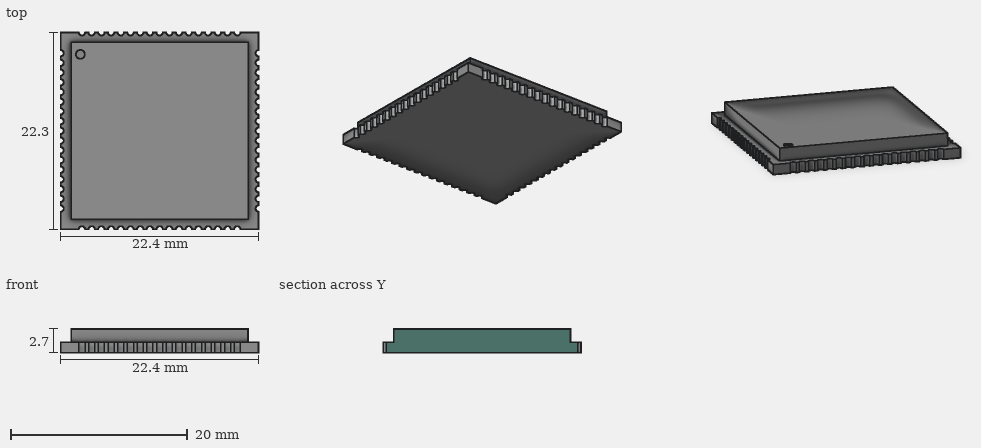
import cadquery as cq

BOARD_LENGTH = 22.43
BOARD_WIDTH = 22.3
BOARD_THICKNESS = 1.2

NOTCH_DIAMETER = 0.7
NOTCH_PITCH = 1.1
NOTCHES_PER_EDGE = 17

TOTAL_HEIGHT = 2.7
SHIELD_SIDE = 20.0
SHIELD_HEIGHT = TOTAL_HEIGHT - BOARD_THICKNESS

MARK_DIAMETER = 1.0
MARK_DEPTH = 0.1
MARK_INSET_X = 1.03
MARK_INSET_Y = 1.35


def notch_centres():
    """Centres of the notches, evenly spaced about the middle of each edge."""
    first = -NOTCH_PITCH * (NOTCHES_PER_EDGE - 1) / 2
    centres = []
    for index in range(NOTCHES_PER_EDGE):
        along = first + index * NOTCH_PITCH
        for side in (-1, 1):
            centres.append((along, side * BOARD_WIDTH / 2))
            centres.append((side * BOARD_LENGTH / 2, along))
    return centres


def make_board():
    """Flat board with its castellated edges, standing on Z = 0."""
    board = cq.Workplane("XY").rect(BOARD_LENGTH, BOARD_WIDTH).extrude(BOARD_THICKNESS)
    notches = (
        cq.Workplane("XY")
        .pushPoints(notch_centres())
        .circle(NOTCH_DIAMETER / 2)
        .extrude(BOARD_THICKNESS)
    )
    return board.cut(notches)


def make_shield():
    """Shield can with the pin-one mark in its -X, +Y corner."""
    shield = (
        cq.Workplane("XY", origin=(0, 0, BOARD_THICKNESS))
        .rect(SHIELD_SIDE, SHIELD_SIDE)
        .extrude(SHIELD_HEIGHT)
    )
    mark_x = -SHIELD_SIDE / 2 + MARK_INSET_X
    mark_y = SHIELD_SIDE / 2 - MARK_INSET_Y
    mark = (
        cq.Workplane("XY", origin=(mark_x, mark_y, TOTAL_HEIGHT))
        .circle(MARK_DIAMETER / 2)
        .extrude(-MARK_DEPTH)
    )
    return shield.cut(mark)


result = make_board().union(make_shield())